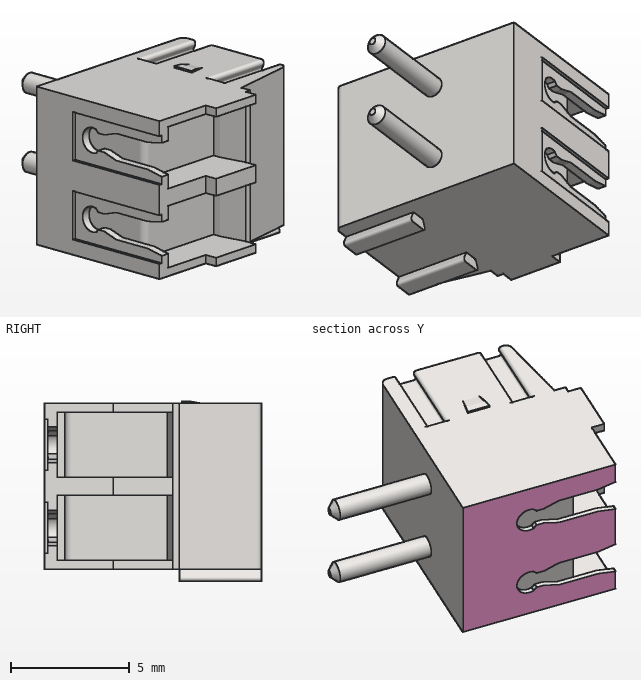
import cadquery as cq
import math

body_length = 7.0
body_width = 9.15
body_height = 7.0
shoulder_y = 5.69
shoulder_x = 6.49
taper_angle = 10.0
corner_radius = 0.3

pole_pitch = 3.5
pole_heights = [pole_pitch / 2, pole_pitch * 3 / 2]

pin_diameter = 0.9
pin_length = 4.47
pin_chamfer = 0.3
pin_y = 4.15

tab_length = 0.58
tab_width = 2.5
tab_thickness = 0.38

pocket_start = 2.07
pocket_height = 2.15
pocket_depth = 0.15

window_floor = 0.55
keyhole_x = 3.05
keyhole_radius = 0.56
round_end_x = 3.24
neck_start = 3.38
neck_end = 3.72
neck_half_height = 0.385
flank_start = 4.41
flank_end = 6.2
flank_half_height = 0.6
mouth_half_height = 0.75

chamber_height = pole_pitch - 2 * tab_thickness
contact_y = 0.86
contact_end = 5.37
contact_radius = 0.29
entry_y = pin_y + tab_width / 2
entry_flare_start = 5.73
entry_flare_angle = 10.0

dovetail_length = body_width - shoulder_y
dovetail_positions = [1.12, 5.02]
rail_height = 0.5
rail_root_half_width = 0.34
rail_tip_half_width = 0.57
rail_radius = 0.12
groove_depth = 0.51
groove_top_half_width = 0.305
groove_floor_half_width = 0.565
groove_floor_radius = 0.1
groove_lip_radius = 0.15

bump_x = 3.06
bump_height = 0.08
bump_start_y = 5.79
bump_ramp_y = 6.11
bump_end_y = 6.58
bump_start_width = 1.0
bump_end_width = 0.76


def make_body():
    taper_top_x = shoulder_x - dovetail_length * math.tan(math.radians(taper_angle))
    outline = [
        (0, 0),
        (body_length, 0),
        (body_length, shoulder_y),
        (shoulder_x, shoulder_y),
        (taper_top_x, body_width),
        (0, body_width),
    ]
    block = cq.Workplane("XY").polyline(outline).close().extrude(body_height)
    return block.edges("|Z").edges(">Y").fillet(corner_radius)


def box_between(x_range, y_range, z_range):
    lows, highs = zip(x_range, y_range, z_range)
    sizes = [high - low for low, high in zip(lows, highs)]
    return cq.Workplane("XY").box(*sizes, centered=False).translate(lows)


def make_tabs():
    y_range = (pin_y - tab_width / 2, pin_y + tab_width / 2)
    x_range = (body_length, body_length + tab_length)
    z_ranges = [
        (0, tab_thickness),
        (body_height / 2 - tab_thickness, body_height / 2 + tab_thickness),
        (body_height - tab_thickness, body_height),
    ]
    tabs = cq.Workplane("XY")
    for z_range in z_ranges:
        tabs = tabs.add(box_between(x_range, y_range, z_range))
    return tabs.combine()


def make_pin(z):
    pin = cq.Workplane("YZ").center(pin_y, z).circle(pin_diameter / 2).extrude(-pin_length)
    return pin.faces("<X").chamfer(pin_chamfer)


def make_window(z):
    """Keyhole window: a round end, a neck, straight flanks and a flared mouth."""
    upper = [
        (neck_start, neck_half_height),
        (neck_end, neck_half_height),
        (flank_start, flank_half_height),
        (flank_end, flank_half_height),
        (body_length, mouth_half_height),
    ]
    lower = [(x, -half_height) for x, half_height in reversed(upper)]
    outline = [(x, z + offset) for x, offset in upper + lower]
    arc_end_offset = math.sqrt(keyhole_radius**2 - (round_end_x - keyhole_x) ** 2)
    arc_start = (round_end_x, z - arc_end_offset)
    arc_end = (round_end_x, z + arc_end_offset)
    profile = (
        cq.Workplane("XZ")
        .moveTo(*arc_start)
        .threePointArc((keyhole_x - keyhole_radius, z), arc_end)
        .polyline(outline, includeCurrent=True)
        .close()
    )
    return profile.extrude(-window_floor)


def make_chamber(z):
    """Chamber around the contact block, with a rounded contact edge and a flared far wall."""
    flare = (body_length - entry_flare_start) * math.tan(math.radians(entry_flare_angle))
    round_mid = contact_radius * math.sqrt(0.5)
    round_x = contact_end - contact_radius
    round_y = contact_y + contact_radius
    profile = (
        cq.Workplane("XY")
        .moveTo(pocket_start, window_floor)
        .lineTo(body_length, window_floor)
        .lineTo(body_length, entry_y)
        .lineTo(entry_flare_start, entry_y - flare)
        .lineTo(contact_end, entry_y - flare)
        .lineTo(contact_end, round_y)
        .threePointArc((round_x + round_mid, round_y - round_mid), (round_x, contact_y))
        .lineTo(pocket_start, contact_y)
        .close()
    )
    return profile.extrude(chamber_height).translate((0, 0, z - chamber_height / 2))


def make_pole_cavity(z):
    pocket = box_between(
        (pocket_start, body_length),
        (0, pocket_depth),
        (z - pocket_height / 2, z + pocket_height / 2),
    )
    return pocket.union(make_window(z)).union(make_chamber(z))


def make_dovetail(x, top_z, top_half_width, bottom_half_width, depth, radius):
    """Dovetail bar along Y, wider at the bottom, with rounded bottom edges."""
    outline = [
        (x - top_half_width, top_z),
        (x + top_half_width, top_z),
        (x + bottom_half_width, top_z - depth),
        (x - bottom_half_width, top_z - depth),
    ]
    bar = cq.Workplane("XZ").polyline(outline).close().extrude(-dovetail_length)
    return bar.edges("|Y").edges("<Z").fillet(radius).translate((0, shoulder_y, 0))


def cut_groove(block, x):
    """Cut one dovetail groove into the top and round over its two upper edges."""
    groove = make_dovetail(
        x,
        body_height,
        groove_top_half_width,
        groove_floor_half_width,
        groove_depth,
        groove_floor_radius,
    )
    lip_margin = groove_depth / 4
    lips = cq.selectors.BoxSelector(
        (x - groove_floor_half_width, shoulder_y, body_height - lip_margin),
        (x + groove_floor_half_width, body_width, body_height + lip_margin),
    )
    return block.cut(groove).edges("|Y").edges(lips).fillet(groove_lip_radius)


def make_bump():
    side = [
        (bump_start_y, body_height),
        (bump_start_y, body_height + bump_height),
        (bump_ramp_y, body_height + bump_height),
        (bump_end_y, body_height),
    ]
    plan = [
        (bump_x - bump_start_width / 2, bump_start_y),
        (bump_x + bump_start_width / 2, bump_start_y),
        (bump_x + bump_end_width / 2, bump_end_y),
        (bump_x - bump_end_width / 2, bump_end_y),
    ]
    ramp = cq.Workplane("YZ").polyline(side).close().extrude(body_length)
    footprint = cq.Workplane("XY").polyline(plan).close().extrude(body_height + bump_height)
    return ramp.intersect(footprint)


result = make_body()
for groove_x in dovetail_positions:
    result = cut_groove(result, groove_x)
for rail_x in dovetail_positions:
    result = result.union(
        make_dovetail(rail_x, 0, rail_root_half_width, rail_tip_half_width, rail_height, rail_radius)
    )
for pole_z in pole_heights:
    result = result.cut(make_pole_cavity(pole_z)).union(make_pin(pole_z))
result = result.union(make_tabs()).union(make_bump())